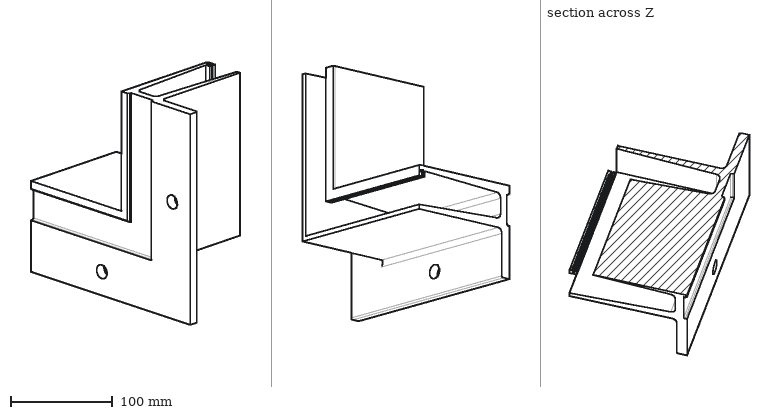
import cadquery as cq

side = 220.0
depth = 120.5

arm_height = 95.0
channel_height = 45.0
flange_thickness = 10.5
flange_edge_radius = 1.8
flange_root_radius = 5.0

pocket_front = 12.0
pocket_floor_near = 10.0
pocket_floor_far = 35.5
pocket_mouth_near = 5.0
pocket_mouth_far = 40.5
pocket_corner_radius = 5.0

hook_reach = 11.0
hook_depth = 7.7
seal_slot_start = 3.5
seal_slot_end = 5.3
seal_bulb_mouth = 6.2
seal_bulb_start = 2.6
seal_bulb_end = 5.7
seal_bulb_bottom = 4.6

lip_bevel_depth = 1.8
lip_bevel_height = 0.5

recess_near = 8.1
recess_far = 41.1
recess_wall_near = 9.7
recess_floor_near = 10.1
recess_wall_far = 40.7
recess_depth = 3.5
recess_bevel_depth = 1.8
recess_floor_radius = 1.5

hole_diameter = 14.0
hole_from_end = 98.0
hole_from_edge = 24.9


def section(points):
    """Closed YZ outline from (depth, offset from inner face) pairs."""
    return cq.Workplane("YZ").polyline([(y, arm_height - offset) for y, offset in points]).close()


def bar(points):
    return section(points).extrude(side)


def edge_at(y, offset):
    """Selector for the lengthwise edge through one section point."""
    return cq.selectors.NearestToPointSelector((side / 2, y, arm_height - offset))


def body():
    solid = bar([
        (0, 0),
        (depth - lip_bevel_depth, 0),
        (depth, lip_bevel_height),
        (depth, channel_height),
        (flange_thickness, channel_height),
        (flange_thickness, arm_height),
        (0, arm_height),
    ])
    solid = solid.edges(edge_at(flange_thickness, channel_height)).fillet(flange_root_radius)
    return solid.edges(edge_at(flange_thickness, arm_height)).fillet(flange_edge_radius)


def pocket():
    solid = bar([
        (pocket_front, pocket_floor_near),
        (depth, pocket_mouth_near),
        (depth, pocket_mouth_far),
        (pocket_front, pocket_floor_far),
    ])
    for offset in (pocket_floor_near, pocket_floor_far):
        solid = solid.edges(edge_at(pocket_front, offset)).fillet(pocket_corner_radius)
    return solid


def strip(start, end, near, far):
    """Rectangular bar placed by its distances from the back edge."""
    return bar([
        (depth - start, near),
        (depth - end, near),
        (depth - end, far),
        (depth - start, far),
    ])


def recess():
    solid = bar([
        (0, recess_near),
        (recess_bevel_depth, recess_wall_near),
        (recess_depth, recess_floor_near),
        (recess_depth, recess_wall_far),
        (0, recess_far),
    ])
    return solid.edges(edge_at(recess_depth, recess_wall_far)).fillet(recess_floor_radius)


def arm():
    """Horizontal arm, cut at the corner along the 45 degree mitre."""
    hook = strip(0, hook_depth, lip_bevel_height, hook_reach)
    slot = strip(seal_slot_start, seal_slot_end, seal_bulb_bottom, hook_reach)
    bulb = strip(seal_bulb_start, seal_bulb_end, seal_bulb_bottom, seal_bulb_mouth)
    solid = body().cut(pocket()).union(hook).cut(slot).cut(bulb).cut(recess())
    hole = (
        cq.Workplane("XZ")
        .center(hole_from_end, hole_from_edge)
        .circle(hole_diameter / 2)
        .extrude(-flange_thickness)
    )
    mitre = (
        cq.Workplane("XZ")
        .polyline([(0, 0), (side, 0), (0, side)])
        .close()
        .extrude(-depth)
    )
    return solid.cut(hole).intersect(mitre)


horizontal_arm = arm()
upright_arm = horizontal_arm.mirror(cq.Vector(1, 0, 1), (side, 0, 0))
result = horizontal_arm.union(upright_arm)